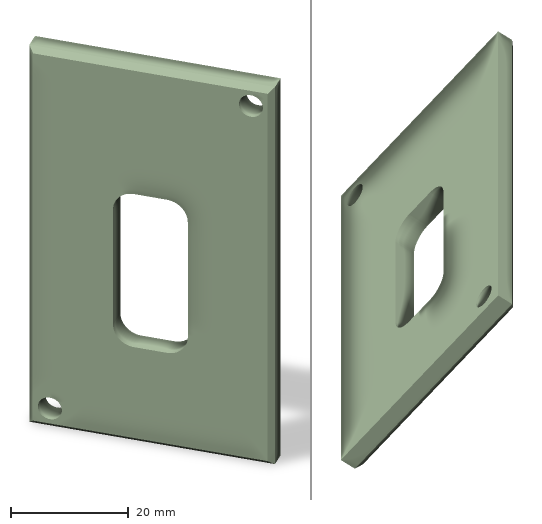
import cadquery as cq

width = 44.0
thickness = 4.0
height = 75.25
bevel = 1.0

hole_diameter = 4.3
hole_inset = 4.0
hole_x = width / 2 - hole_inset
hole_z = height / 2 - hole_inset

window_width = 13.4
window_height = 30.55
window_radius = 3.8
window_center_z = -3.2


def make_plate():
    """Rectangular plate with a bevel around the front face."""
    plate = cq.Workplane("XY").box(width, thickness, height)
    return plate.faces("<Y").chamfer(bevel)


def make_window():
    """Cutter for the rounded rectangular window."""
    cutter = cq.Workplane("XY").box(window_width, 2 * thickness, window_height)
    return cutter.edges("|Y").fillet(window_radius).translate((0, 0, window_center_z))


def make_holes():
    """Cutters for the two corner holes."""
    return (
        cq.Workplane("XZ")
        .pushPoints([(hole_x, hole_z), (-hole_x, -hole_z)])
        .circle(hole_diameter / 2)
        .extrude(thickness, both=True)
    )


result = make_plate().cut(make_window()).cut(make_holes())